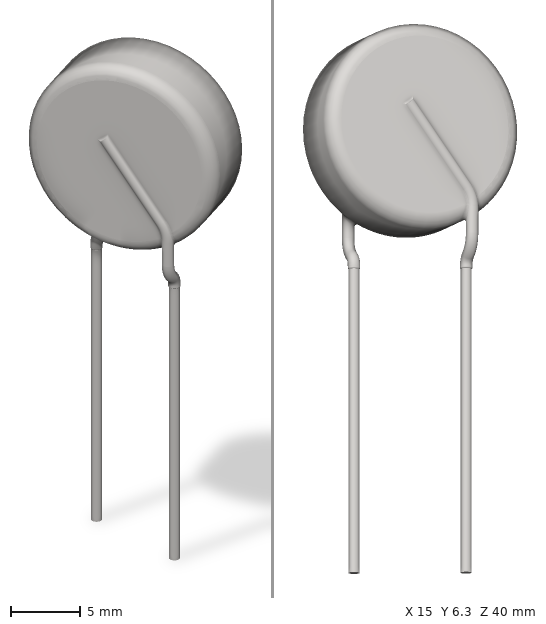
import cadquery as cq
import math

disc_diameter = 15.0
disc_thickness = 5.8
disc_edge_radius = 1.0

coated_diameter = 0.9
bare_diameter = 0.8
overall_depth = 6.3
overall_height = 40.0
lead_spacing = 7.5
leg_offset = 1.55

slant_angle = math.radians(36.9)
tip_height = 1.55
slant_bend_radius = 2.3
slant_bend_end = -5.8

double_bend_start = -7.75
double_bend_angle = math.radians(56)
outer_bend_share = 0.65
coating_tail = 0.25

tail_rounding = 0.1
seam_radius = 0.2
contact_tolerance = 1e-3

lead_x = lead_spacing / 2
face_wire_y = -(overall_depth - coated_diameter) / 2
leg_y = -leg_offset
leg_bottom = disc_diameter / 2 - overall_height


def make_disc():
    front_face = cq.Workplane("XZ", origin=(0, -disc_thickness / 2, 0))
    disc = front_face.circle(disc_diameter / 2).extrude(-disc_thickness)
    return disc.edges().fillet(disc_edge_radius)


def coated_path():
    """Centre line from the tip on the face to the end of the coating, leaving each bend at a tangent."""
    bend_start_x = lead_x - slant_bend_radius * (1 - math.cos(slant_angle))
    bend_start_z = slant_bend_end + slant_bend_radius * math.sin(slant_angle)
    tip_x = bend_start_x - (tip_height - bend_start_z) * math.tan(slant_angle)

    bend_radius_sum = (leg_y - face_wire_y) / (1 - math.cos(double_bend_angle))
    outer_radius = bend_radius_sum * outer_bend_share
    bend_middle_y = face_wire_y + outer_radius * (1 - math.cos(double_bend_angle))
    bend_middle_z = double_bend_start - outer_radius * math.sin(double_bend_angle)
    bend_end_z = double_bend_start - bend_radius_sum * math.sin(double_bend_angle)

    tip = cq.Vector(tip_x, face_wire_y, tip_height)
    slant_end = cq.Vector(bend_start_x, face_wire_y, bend_start_z)
    face_end = cq.Vector(lead_x, face_wire_y, slant_bend_end)
    double_start = cq.Vector(lead_x, face_wire_y, double_bend_start)
    double_middle = cq.Vector(lead_x, bend_middle_y, bend_middle_z)
    double_end = cq.Vector(lead_x, leg_y, bend_end_z)
    coating_end = cq.Vector(lead_x, leg_y, bend_end_z - coating_tail)

    down = cq.Vector(0, 0, -1)
    slant = cq.Vector(math.sin(slant_angle), 0, -math.cos(slant_angle))
    inward = cq.Vector(0, math.sin(double_bend_angle), -math.cos(double_bend_angle))
    edges = [
        cq.Edge.makeLine(tip, slant_end),
        cq.Edge.makeTangentArc(slant_end, slant, face_end),
        cq.Edge.makeLine(face_end, double_start),
        cq.Edge.makeTangentArc(double_start, down, double_middle),
        cq.Edge.makeTangentArc(double_middle, inward, double_end),
        cq.Edge.makeLine(double_end, coating_end),
    ]
    return cq.Wire.assembleEdges(edges), tip, slant, coating_end


def make_coating():
    """Coated stretch of one wire and the point where the bare leg leaves it."""
    path, tip, slant, coating_end = coated_path()
    tip_plane = cq.Plane(origin=tip, xDir=(0, 1, 0), normal=slant)
    coating = cq.Workplane(tip_plane).circle(coated_diameter / 2).sweep(cq.Workplane(path))
    coating = coating.faces("<Z").edges().fillet(tail_rounding)
    return coating, coating_end


def make_leg(leg_top):
    leg_plane = cq.Plane(origin=leg_top, xDir=(1, 0, 0), normal=(0, 0, -1))
    return cq.Workplane(leg_plane).circle(bare_diameter / 2).extrude(leg_top.z - leg_bottom)


def half_turn(body):
    return body.rotate((0, 0, 0), (0, 0, 1), 180)


def join_with_seam(disc, coating):
    """Join a coated wire to the disc and round every edge where the two surfaces meet."""
    disc_skin = disc.val().Shells()[0]
    coating_skin = coating.val().Shells()[0]

    def on_both(edge):
        middle = cq.Vertex.makeVertex(*edge.positionAt(0.5).toTuple())
        gap = max(middle.distance(disc_skin), middle.distance(coating_skin))
        return gap < contact_tolerance

    joined = disc.union(coating)
    return joined.newObject(joined.edges().filter(on_both).vals()).fillet(seam_radius)


front_coating, leg_top = make_coating()
front_leg = make_leg(leg_top)
result = join_with_seam(make_disc(), front_coating)
result = join_with_seam(result, half_turn(front_coating))
result = result.union(front_leg).union(half_turn(front_leg))